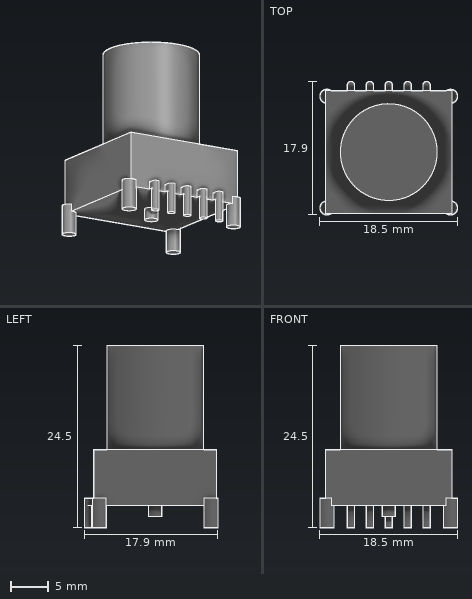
import cadquery as cq

body_length = 17.0
body_width = 16.5
body_height = 7.5

cap_diameter = 13.0
cap_height = 14.0

post_diameter = 1.9
post_spacing_x = 16.6
post_spacing_y = 15.0
post_embed = 1.0

pin_count = 5
pin_pitch = 2.54
pin_diameter = 1.0
pin_y = 9.0
pin_top = post_embed

peg_diameter = 1.8
peg_length = 1.5

leg_length = 3.0


def cylinder(diameter, bottom, top, places):
    """Upright cylinders between two heights, one at each (x, y) place."""
    return (
        cq.Workplane("XY")
        .workplane(offset=bottom)
        .pushPoints(places)
        .circle(diameter / 2)
        .extrude(top - bottom)
    )


def make_housing():
    block = cq.Workplane("XY").box(
        body_length, body_width, body_height, centered=(True, True, False)
    )
    cap = cylinder(cap_diameter, body_height, body_height + cap_height, [(0, 0)])
    peg = cylinder(peg_diameter, -peg_length, 0, [(0, 0)])
    return block.union(cap).union(peg)


def make_corner_posts():
    corners = [
        (side_x * post_spacing_x / 2, side_y * post_spacing_y / 2)
        for side_x in (-1, 1)
        for side_y in (-1, 1)
    ]
    return cylinder(post_diameter, -leg_length, post_embed, corners)


def make_pin(x):
    """Upright round pin joined to the housing by a short flat arm."""
    body_face = body_width / 2
    arm_length = pin_y - body_face
    leg = cylinder(pin_diameter, -leg_length, pin_top, [(x, pin_y)])
    arm = (
        cq.Workplane("XY")
        .center(x, body_face + arm_length / 2)
        .rect(pin_diameter, arm_length)
        .extrude(pin_top)
    )
    return leg.union(arm)


result = make_housing().union(make_corner_posts())
for index in range(pin_count):
    pin_x = (index - (pin_count - 1) / 2) * pin_pitch
    result = result.union(make_pin(pin_x))